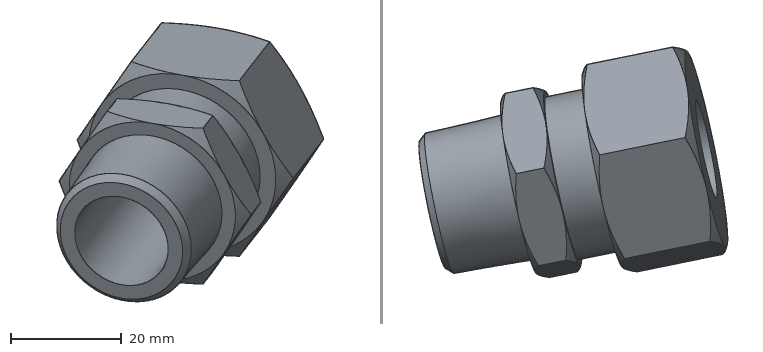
import cadquery as cq
import math

total_length = 50.5
bore_diameter = 18.0

tip_diameter = 23.55
chamfer_length = 1.3
spigot_length = 16.0
gauge_position = 9.6
gauge_diameter = 26.4
taper = 1 / 16

body_hex_width = 32.0
body_hex_length = 8.0
neck_diameter = 30.0
nut_hex_width = 36.0
nut_length = 19.0
hex_chamfer_angle = math.radians(30)

nut_start = total_length - nut_length
tip_y = -total_length / 2


def revolve_profile(points):
    """Revolve (radius, axial position) points around the Y axis."""
    return cq.Workplane("XY").polyline(points).close().revolve(360, (0, 0, 0), (0, 1, 0))


def taper_radius(position):
    """Radius of the tapered end at a distance from its tip."""
    return (gauge_diameter + taper * (position - gauge_position)) / 2


def chamfered_hexagon(width, start, length):
    """Hexagon with corners on +/-X and both ends turned down to a cone."""
    inner_radius = width / 2
    corner_radius = inner_radius / math.cos(math.radians(30))
    chamfer_depth = (corner_radius - inner_radius) * math.tan(hex_chamfer_angle)
    end = start + length
    prism = (
        cq.Workplane("XZ", origin=(0, start, 0))
        .polygon(6, 2 * corner_radius)
        .extrude(-length)
    )
    envelope = revolve_profile([
        (0, start),
        (inner_radius, start),
        (corner_radius, start + chamfer_depth),
        (corner_radius, end - chamfer_depth),
        (inner_radius, end),
        (0, end),
    ])
    return prism.intersect(envelope)


def turned_core():
    """Tapered spigot and round neck, running on into the nut."""
    return revolve_profile([
        (0, 0),
        (tip_diameter / 2, 0),
        (taper_radius(chamfer_length), chamfer_length),
        (taper_radius(gauge_position), gauge_position),
        (taper_radius(spigot_length), spigot_length),
        (neck_diameter / 2, spigot_length),
        (neck_diameter / 2, total_length),
        (0, total_length),
    ])


body_hex = chamfered_hexagon(body_hex_width, spigot_length, body_hex_length)
nut_hex = chamfered_hexagon(nut_hex_width, nut_start, nut_length)
bore = cq.Workplane("XZ").circle(bore_diameter / 2).extrude(-total_length)

result = (
    turned_core()
    .union(body_hex)
    .union(nut_hex)
    .cut(bore)
    .translate((0, tip_y, 0))
)